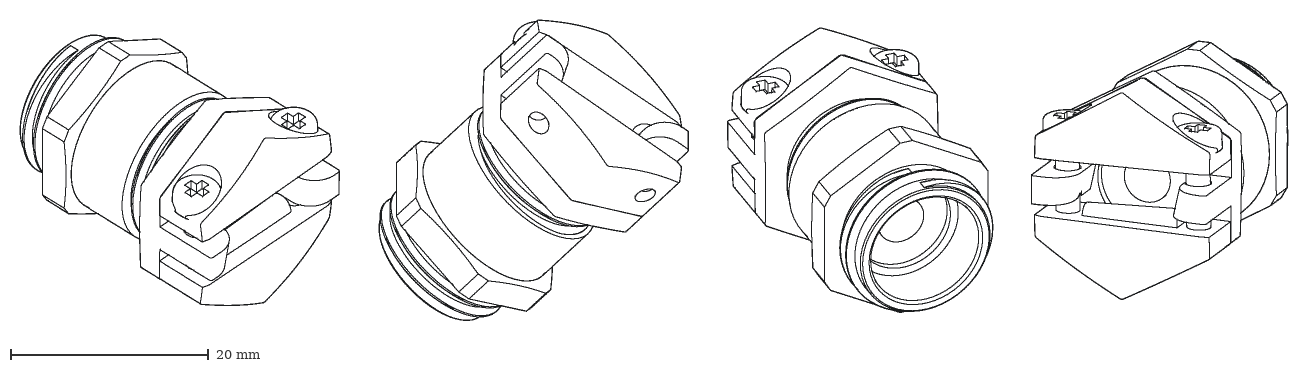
import cadquery as cq
import math


X_AXIS = cq.Vector(1, 0, 0)
ORIGIN = cq.Vector(0, 0, 0)

neck_radius = 14.28 / 2
neck_chamfer = 0.18
flange_start = 5.05
flange_end = 8.5
flange_width = 18.0
flange_corner_width = 20.0
flange_bevel_radius = 8.4
flange_bevel_depth = 0.42
sleeve_radius = 8.42
sleeve_end = 15.6
entry_radius = 11.9 / 2
entry_bevel = 0.3
lip_radius = 10.16 / 2
lip_start = 5.58
lip_end = 6.4

thread_pitch = 1.5
thread_turns = 2
thread_height = 0.76
thread_root_width = 1.06
thread_crest_width = 0.2
thread_end_height = 0.05
thread_sink = 0.3
entry_thread_start = 0.97
cap_thread_start = 15.0

seal_hole_radius = 5.0 / 2

cap_start = 19.05
cap_ring_end = 21.9
cap_width = 19.0
cap_corner_round = 0.4
cap_bevel_radius = 9.25
cap_start_bevel = 0.2
cap_floor = 1.0
cap_mouth_radius = 10.0 / 2
cap_turn = -0.4
cap_floor_start = cap_ring_end - cap_floor

ear_end = 29.06
ear_height = 3.0
ear_inner_y = 5.15
ear_round = 2.8
ear_lean = 0.65
ear_edge_round = 0.3

jaw_end = 28.1
jaw_end_bevel = 0.5
upper_jaw_face_z = 3.23
lower_jaw_face_z = -3.08
upper_jaw_turn = 0.7
lower_jaw_turn = -0.9
ridge_radius = 1.3
ridge_half_length = ear_inner_y
ridge_turn = 2.2

screw_x = 24.86
screw_y = 7.1
screw_turn = upper_jaw_turn
head_radius = 4.9 / 2
counterbore_radius = 5.0 / 2
head_round = 0.55
head_seat_z = 5.0
head_top_z = 7.1
shank_radius = 2.44 / 2
shank_end_z = -5.0
clearance_radius = 2.72 / 2
pilot_radius = 2.05 / 2
cross_length = 2.5
cross_width = 0.94
cross_depth = 1.1
overrun = 15.0


def cylinder_x(radius, start, end):
    return cq.Workplane("YZ", origin=(start, 0, 0)).circle(radius).extrude(end - start)


def turn_about_x(shape, angle):
    return shape.rotate(ORIGIN, X_AXIS, angle)


def hex_prism(width, start, end):
    """Hexagonal bar along X with two corners on the Z axis."""
    corner_diameter = width / math.cos(math.pi / 6)
    bar = cq.Workplane("YZ", origin=(start, 0, 0)).polygon(6, corner_diameter)
    return turn_about_x(bar.extrude(end - start), 90)


def bevel_envelope(start, end, start_depth, end_depth, flat_radius, width):
    """Round bar with conical ends; its full radius covers the corners of the hexagon."""
    corner_radius = width / 2 / math.cos(math.pi / 6)
    outline = cq.Workplane("XY").moveTo(start, 0).lineTo(start, flat_radius)
    outline = outline.lineTo(start + start_depth, corner_radius)
    outline = outline.lineTo(end - end_depth, corner_radius)
    outline = outline.lineTo(end, flat_radius).lineTo(end, 0).close()
    return outline.revolve(360, (0, 0, 0), (1, 0, 0))


def thread_run_out(length):
    """Cutter that lowers the first quarter turn; its inner side is an eccentric cylinder."""
    inner_radius = neck_radius + thread_end_height
    offset = thread_height - thread_end_height
    quarter_lead = thread_pitch / 4
    width = thread_root_width + quarter_lead
    cutter = cq.Workplane("XY").box(width, overrun, overrun, centered=(True, False, False))
    cutter = cutter.mirror("XZ").translate((quarter_lead / 2, 0, 0))
    return cutter.cut(cylinder_x(inner_radius, -length, length).translate((0, -offset, 0)))


def thread(start, start_angle):
    """Right-hand thread ridge; start_angle turns its start about X, from the +Z side."""
    length = thread_pitch * thread_turns
    root = neck_radius - thread_sink
    crest = neck_radius + thread_height
    half_crest = thread_crest_width / 2
    flank_slope = (thread_root_width / 2 - half_crest) / thread_height
    half_root = thread_root_width / 2 + thread_sink * flank_slope
    helix = cq.Wire.makeHelix(thread_pitch, length, neck_radius)
    profile = cq.Workplane("XZ").moveTo(root, -half_root).lineTo(crest, -half_crest).lineTo(crest, half_crest)
    profile = profile.lineTo(root, half_root).close()
    ridge = profile.sweep(cq.Workplane(helix), isFrenet=True)
    ridge = ridge.rotate(ORIGIN, cq.Vector(0, 1, 0), 90)
    ridge = turn_about_x(ridge, 180)
    run_out = thread_run_out(length)
    ridge = ridge.cut(run_out)
    ridge = ridge.cut(run_out.rotate(ORIGIN, cq.Vector(0, 0, 1), 180).translate((length, 0, 0)))
    return turn_about_x(ridge, start_angle).translate((start, 0, 0))


def make_body():
    neck = cylinder_x(neck_radius, 0, cap_floor_start).faces("<X").chamfer(neck_chamfer)
    flange = hex_prism(flange_width, flange_start, flange_end)
    corner_cut = turn_about_x(hex_prism(flange_corner_width, flange_start, flange_end), 30)
    flange = flange.intersect(corner_cut)
    flange_bevel_slope = flange_bevel_depth / (flange_corner_width / 2 - flange_bevel_radius)
    full_radius = flange_width / 2 / math.cos(math.pi / 6)
    bevel = bevel_envelope(
        flange_start - overrun, flange_end, 0,
        flange_bevel_slope * (full_radius - flange_bevel_radius),
        flange_bevel_radius, flange_width,
    )
    flange = flange.intersect(bevel)
    sleeve = cylinder_x(sleeve_radius, flange_end, sleeve_end)
    body = neck.union(flange).union(sleeve)
    body = body.union(thread(entry_thread_start, 0)).union(thread(cap_thread_start, 90))

    bore = cq.Workplane("XY").lineTo(0, entry_radius + entry_bevel).lineTo(entry_bevel, entry_radius)
    bore = bore.lineTo(lip_start, entry_radius).lineTo(lip_start, lip_radius)
    bore = bore.lineTo(lip_end, lip_radius).lineTo(lip_end, entry_radius)
    bore = bore.lineTo(cap_floor_start, entry_radius).lineTo(cap_floor_start, 0).close()
    return body.cut(bore.revolve(360, (0, 0, 0), (1, 0, 0)))


def make_seal():
    seal = cylinder_x(entry_radius, lip_end, cap_floor_start)
    return seal.cut(cylinder_x(seal_hole_radius, lip_end, cap_floor_start))


def cap_hexagon():
    """Common outer shape of the cap ring and the two jaws."""
    bar = hex_prism(cap_width, cap_start, jaw_end).edges("|X").fillet(cap_corner_round)
    return bar.intersect(bevel_envelope(
        cap_start, jaw_end, cap_start_bevel, jaw_end_bevel, cap_bevel_radius, cap_width
    ))


def make_ear():
    """Ear on the +Y side, its rounded inner side leaning outward towards the top."""
    blank_y = cap_width / 2
    plan = cq.Workplane("XY", origin=(0, 0, -ear_height / 2)).moveTo(cap_ring_end, ear_inner_y)
    plan = plan.lineTo(ear_end - ear_round, ear_inner_y)
    plan = plan.radiusArc((ear_end, ear_inner_y + ear_round), -ear_round)
    plan = plan.lineTo(ear_end, blank_y).lineTo(cap_ring_end, blank_y).close()
    lean = cq.Vector(0, ear_lean, ear_height)
    ear = cq.Workplane(cq.Solid.extrudeLinear(plan.val(), [], lean))
    ear_length = ear_end - cap_ring_end
    block = cq.Workplane("XY").box(ear_length, blank_y, ear_height, centered=(False, False, True))
    block = block.edges(">X and >Y").fillet(ear_edge_round).translate((cap_ring_end, 0, 0))
    return ear.intersect(block)


def screw_bore(radius, side, bottom, top):
    """Round bar on a screw axis; side is +1 or -1 along Y."""
    bore = cq.Workplane("XY", origin=(screw_x, side * screw_y, bottom)).circle(radius)
    return turn_about_x(bore.extrude(top - bottom), screw_turn)


def make_cap():
    cap = cap_hexagon().intersect(cylinder_x(overrun, cap_start, cap_ring_end))
    cap = cap.cut(cylinder_x(neck_radius, cap_start, cap_floor_start))
    cap = cap.cut(cylinder_x(cap_mouth_radius, cap_start, cap_ring_end))
    ear = make_ear()
    cap = cap.union(ear).union(turn_about_x(ear, 180))
    cap = turn_about_x(cap, cap_turn)
    cap = cap.cut(thread(cap_thread_start, 90))
    for side in (-1, 1):
        cap = cap.cut(screw_bore(clearance_radius, side, -ear_height, ear_height))
    return cap


def jaw_block(bottom):
    """Large block behind the cap ring, starting at height bottom."""
    width = 2 * overrun
    block = cq.Workplane("XY").box(width, width, overrun, centered=(False, True, False))
    return block.translate((cap_ring_end, 0, bottom))


def make_upper_jaw():
    jaw = turn_about_x(cap_hexagon().intersect(jaw_block(upper_jaw_face_z)), upper_jaw_turn)
    for side in (-1, 1):
        jaw = jaw.cut(screw_bore(shank_radius, side, 0, head_seat_z))
        jaw = jaw.cut(screw_bore(counterbore_radius, side, head_seat_z, overrun))
    return jaw


def make_lower_jaw():
    jaw = cap_hexagon().intersect(jaw_block(lower_jaw_face_z - overrun))
    ridge = cq.Workplane("XZ", origin=(screw_x, 0, lower_jaw_face_z)).circle(ridge_radius)
    ridge = turn_about_x(ridge.extrude(ridge_half_length, both=True), ridge_turn)
    jaw = turn_about_x(jaw, lower_jaw_turn).union(ridge)
    for side in (-1, 1):
        jaw = jaw.cut(screw_bore(shank_radius, side, shank_end_z, 0))
        jaw = jaw.cut(screw_bore(pilot_radius, side, -overrun, shank_end_z))
    return jaw


def make_screw(side):
    head = cq.Workplane("XY", origin=(0, 0, head_seat_z)).circle(head_radius)
    head = head.extrude(head_top_z - head_seat_z).faces(">Z").edges().fillet(head_round)
    shank = cq.Workplane("XY", origin=(0, 0, shank_end_z)).circle(shank_radius)
    screw = head.union(shank.extrude(head_seat_z - shank_end_z))
    cross = cq.Workplane("XY", origin=(0, 0, head_top_z - cross_depth)).rect(cross_length, cross_width)
    cross = cross.extrude(cross_depth)
    screw = screw.cut(cross).cut(cross.rotate(ORIGIN, cq.Vector(0, 0, 1), 90))
    return turn_about_x(screw.translate((screw_x, side * screw_y, 0)), screw_turn)


body = make_body()
seal = make_seal()
cap = make_cap()
upper_jaw = make_upper_jaw()
lower_jaw = make_lower_jaw()
screws = [make_screw(side) for side in (-1, 1)]

result = cq.Compound.makeCompound([
    part.solids().val() for part in (body, seal, cap, upper_jaw, lower_jaw, *screws)
])